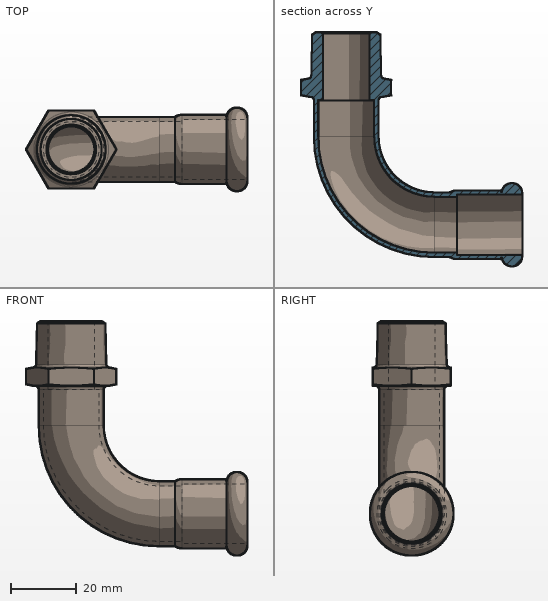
import cadquery as cq
import math

tube_diameter = 20.0
tube_bore = 17.0
bend_radius = 27.0

thread_top_z = 59.0
thread_bore = 14.2
bore_mouth_diameter = 15.2
end_face_diameter = 18.7
thread_tip_diameter = 21.0
thread_root_diameter = 21.6
thread_chamfer_height = 0.75
thread_root_z = 45.7

hex_across_flats = 24.0
hex_across_corners = hex_across_flats / math.cos(math.pi / 6)
hex_face_diameter = 22.9
hex_top_z = 44.88
hex_bottom_z = 39.12
hex_bevel_angle = math.radians(12)
hex_bevel_height = (hex_across_corners - hex_face_diameter) / 2 * math.tan(hex_bevel_angle)
tube_fillet_radius = 1.0
collar_bottom_z = hex_bottom_z - tube_fillet_radius

wall = (tube_diameter - tube_bore) / 2
socket_diameter = 21.3
socket_bore = socket_diameter - 2 * wall
socket_start_x = 31.85
socket_shoulder_x = 34.0
socket_end_x = 54.0
bead_diameter = 25.71
bead_width = 6.5


def tangent_arc_radius(run, rise):
    """Radius of an arc that leaves a wall tangentially and rises off it over the given run."""
    return (run**2 + rise**2) / (2 * rise)


def cylinder_x(diameter, start, end):
    return cq.Workplane("YZ", origin=(start, 0, 0)).circle(diameter / 2).extrude(end - start)


def cylinder_z(diameter, start, end):
    return cq.Workplane("XY", origin=(0, 0, start)).circle(diameter / 2).extrude(end - start)


def bend(diameter):
    """Quarter torus joining the vertical leg to the horizontal leg."""
    section = cq.Workplane("XY", origin=(0, 0, bend_radius)).circle(diameter / 2)
    return section.revolve(90, (bend_radius, 0, 0), (bend_radius, -1, 0))


def revolve_about_z(points):
    """Solid of revolution from (diameter, z) pairs, closed along the Z axis."""
    outline = [(0, points[0][1])]
    outline += [(diameter / 2, z) for diameter, z in points]
    outline.append((0, points[-1][1]))
    return cq.Workplane("XZ").polyline(outline).close().revolve(360, (0, 0), (0, 1))


def hexagon():
    """Hexagonal prism, corners on X, trimmed by a cone at each face."""
    prism = cq.Workplane("XY", origin=(0, 0, hex_bottom_z)).polygon(6, hex_across_corners)
    prism = prism.extrude(hex_top_z - hex_bottom_z)
    bevel_limit = revolve_about_z([
        (hex_face_diameter, hex_bottom_z),
        (hex_across_corners, hex_bottom_z + hex_bevel_height),
        (hex_across_corners, hex_top_z - hex_bevel_height),
        (hex_face_diameter, hex_top_z),
    ])
    return prism.intersect(bevel_limit)


def threaded_end():
    """Tapered thread envelope and hexagon, with concave fillets above and below the hexagon."""
    tube_radius = tube_diameter / 2
    thread_root_radius = thread_root_diameter / 2
    thread_fillet_run = thread_root_z - hex_top_z
    thread_fillet_rise = hex_face_diameter / 2 - thread_root_radius
    thread_fillet_radius = tangent_arc_radius(thread_fillet_run, thread_fillet_rise)
    body = (
        cq.Workplane("XZ")
        .moveTo(0, collar_bottom_z)
        .lineTo(tube_radius, collar_bottom_z)
        .radiusArc((tube_radius + tube_fillet_radius, hex_bottom_z), tube_fillet_radius)
        .lineTo(hex_face_diameter / 2, hex_bottom_z)
        .lineTo(hex_face_diameter / 2, hex_top_z)
        .radiusArc((thread_root_radius, thread_root_z), thread_fillet_radius)
        .lineTo(thread_tip_diameter / 2, thread_top_z - thread_chamfer_height)
        .lineTo(end_face_diameter / 2, thread_top_z)
        .lineTo(0, thread_top_z)
        .close()
        .revolve(360, (0, 0), (0, 1))
    )
    return body.union(hexagon())


def press_socket():
    """Widened sleeve with a rounded shoulder and a bead around its mouth."""
    shoulder_length = socket_shoulder_x - socket_start_x
    shoulder_rise = (socket_diameter - tube_diameter) / 2
    shoulder_radius = tangent_arc_radius(shoulder_length, shoulder_rise)
    shoulder = (
        cq.Workplane("XY")
        .moveTo(socket_start_x, 0)
        .lineTo(socket_start_x, tube_diameter / 2)
        .radiusArc((socket_shoulder_x, socket_diameter / 2), shoulder_radius)
        .lineTo(socket_shoulder_x, 0)
        .close()
        .revolve(360, (0, 0), (1, 0))
    )
    bead_radius = bead_width / 2
    bead_base = bead_diameter / 2 - bead_radius
    bead = (
        cq.Workplane("XY")
        .moveTo(socket_end_x - bead_width, 0)
        .lineTo(socket_end_x - bead_width, bead_base)
        .threePointArc((socket_end_x - bead_radius, bead_diameter / 2), (socket_end_x, bead_base))
        .lineTo(socket_end_x, 0)
        .close()
        .revolve(360, (0, 0), (1, 0))
    )
    sleeve = cylinder_x(socket_diameter, socket_shoulder_x, socket_end_x - bead_width)
    return shoulder.union(sleeve).union(bead)


def bore():
    """Continuous passage from the thread mouth to the socket mouth."""
    mouth_depth = (bore_mouth_diameter - thread_bore) / 2
    passage = cylinder_z(tube_bore, bend_radius, collar_bottom_z)
    passage = passage.union(bend(tube_bore))
    passage = passage.union(cylinder_x(tube_bore, bend_radius, socket_shoulder_x))
    passage = passage.union(cylinder_x(socket_bore, socket_shoulder_x, socket_end_x))
    thread_passage = revolve_about_z([
        (thread_bore, collar_bottom_z),
        (thread_bore, thread_top_z - mouth_depth),
        (bore_mouth_diameter, thread_top_z),
    ])
    return passage.union(thread_passage)


outside = bend(tube_diameter)
outside = outside.union(cylinder_z(tube_diameter, bend_radius, collar_bottom_z))
outside = outside.union(cylinder_x(tube_diameter, bend_radius, socket_start_x))
outside = outside.union(threaded_end()).union(press_socket())

result = outside.cut(bore())